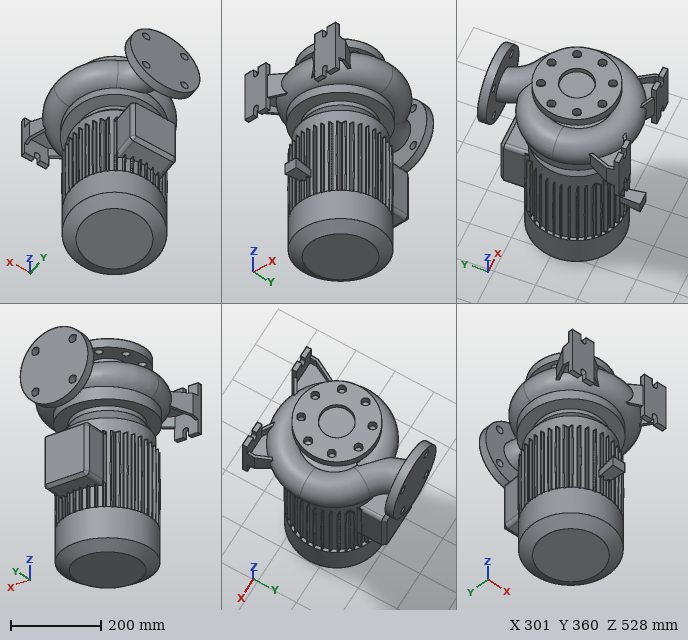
import cadquery as cq
import math


total_height = 528.0

fan_cover_radius = 116.0
fan_cover_tip_radius = 85.0
fan_cover_shoulder_z = 19.0
fin_bottom_z = 97.5
fin_top_z = 289.0
motor_radius = 107.5
motor_shoulder_z = 324.5
adapter_radius = 87.5
adapter_shoulder_z = 354.0

fin_thickness = 2.0
fin_end_radius = fan_cover_radius
fin_bulge_radius = 117.0
fins_per_side = 10
fin_pitch_angle = 10.0

casing_z = 428.0
casing_tube_radius = 40.0
casing_path_radius = 110.5
casing_offset_x = 10.5
casing_tail_end_radius = 33.0
casing_ring_radius = 120.0
casing_ring_bottom_z = 365.5
casing_hub_radius = 90.0
casing_hub_edge_z = 454.0
casing_hub_neck_z = 462.0

flange_thickness = 21.5
suction_flange_radius = 100.0
suction_bolt_circle_radius = 79.5
suction_bolt_count = 8
suction_neck_radius = 47.5
suction_bore_radius = 40.5
suction_bore_depth = 12.5
discharge_flange_radius = 93.0
discharge_face_y = 200.0
discharge_bolt_circle_radius = 72.5
discharge_bolt_count = 4
bolt_hole_diameter = 19.5

foot_face_y = -160.0
foot_plate_thickness = 12.0
foot_outer_x = 140.0
foot_inner_x = 75.0
foot_height = 124.5
foot_slot_x = 106.0
foot_slot_width = 14.0
foot_slot_depth = 22.0
web_thickness = 7.0
web_root_half_height = 30.0
web_taper = 0.17
web_bend_y = -129.5
web_outer_tip = (106.5, -63.0)
web_inner_tip = (26.5, -126.5)
web_inner_root_y = -154.5

support_z = 166.5
support_face_y = -159.0
support_face_width = 35.0
support_face_height = 28.0
support_root_width = 25.0
support_root_height = 20.0
support_length = 56.0

box_width = 121.5
box_bottom_z = 155.0
box_face_y = 160.5
box_root_y = 79.0
box_fillet = 10.0
box_lid_depth = 10.0
box_lid_inset = 7.5


def ring_points(radius, count):
    """Evenly spaced points on a circle, straddling the axes."""
    step = 2 * math.pi / count
    return [(radius * math.cos((i + 0.5) * step), radius * math.sin((i + 0.5) * step)) for i in range(count)]


def make_motor_body():
    profile = [
        (0, 0),
        (fan_cover_tip_radius, 0),
        (fan_cover_radius, fan_cover_shoulder_z),
        (fan_cover_radius, fin_bottom_z),
        (motor_radius, fin_bottom_z),
        (motor_radius, motor_shoulder_z),
        (adapter_radius, adapter_shoulder_z),
        (adapter_radius, casing_ring_bottom_z),
        (0, casing_ring_bottom_z),
    ]
    return cq.Workplane("XZ").polyline(profile).close().revolve(360, (0, 0, 0), (0, 1, 0))


def make_fins():
    """Cooling fins in four groups, each group parallel to X or Y, trimmed to a slight barrel."""
    fin_height = fin_top_z - fin_bottom_z
    side = cq.Workplane("XY")
    for i in range(fins_per_side):
        angle = math.radians((i - (fins_per_side - 1) / 2) * fin_pitch_angle)
        outer_side_x = motor_radius * math.sin(angle)
        centre_x = outer_side_x - math.copysign(fin_thickness / 2, angle)
        fin = (
            cq.Workplane("XY", origin=(centre_x, fin_bulge_radius / 2, fin_bottom_z))
            .rect(fin_thickness, fin_bulge_radius)
            .extrude(fin_height)
        )
        side = side.add(fin)
    barrel = (
        cq.Workplane("XZ")
        .moveTo(0, fin_bottom_z)
        .lineTo(fin_end_radius, fin_bottom_z)
        .threePointArc((fin_bulge_radius, (fin_bottom_z + fin_top_z) / 2), (fin_end_radius, fin_top_z))
        .lineTo(0, fin_top_z)
        .close()
        .revolve(360, (0, 0, 0), (0, 1, 0))
    )
    one_side = side.combine().intersect(barrel)
    fins = one_side
    for quarter in range(1, 4):
        fins = fins.union(one_side.rotate((0, 0, 0), (0, 0, 1), 90 * quarter))
    return fins


def make_terminal_box():
    """Rounded box whose lid slopes inward toward its front face."""
    height = fin_top_z - box_bottom_z
    body = (
        cq.Workplane("XZ", origin=(0, box_root_y, box_bottom_z + height / 2))
        .rect(box_width, height)
        .extrude(box_root_y + box_lid_depth - box_face_y)
        .edges("|Y")
        .fillet(box_fillet)
    )
    lid_slope = math.degrees(math.atan2(box_lid_inset, box_lid_depth))
    lid_outline = body.faces(">Y").wires().toPending().workplane()
    lid = lid_outline.extrude(box_lid_depth, combine=False, taper=lid_slope)
    return body.union(lid)


def make_support():
    return (
        cq.Workplane("XZ", origin=(0, support_face_y, support_z))
        .rect(support_face_width, support_face_height)
        .workplane(offset=-support_length)
        .rect(support_root_width, support_root_height)
        .loft(ruled=True)
    )


def make_casing():
    outlet_path_radius = (discharge_face_y**2 + casing_offset_x**2 - casing_path_radius**2) / (
        2 * (casing_path_radius + casing_offset_x)
    )
    throat_angle = math.asin(discharge_face_y / (casing_path_radius + outlet_path_radius))

    def volute_point(angle):
        return (
            casing_offset_x + casing_path_radius * math.cos(angle),
            casing_path_radius * math.sin(angle),
        )

    def outlet_point(angle):
        return (
            outlet_path_radius * (1 - math.cos(angle)),
            discharge_face_y - outlet_path_radius * math.sin(angle),
        )

    tail_path_radius = casing_path_radius - casing_offset_x

    def tail_point(angle):
        return (tail_path_radius * math.cos(angle), tail_path_radius * math.sin(angle))

    plane = cq.Workplane("XY", origin=(0, 0, casing_z))
    volute_path = (
        plane.moveTo(*volute_point(math.pi))
        .threePointArc(volute_point(1.5 * math.pi), volute_point(0))
        .threePointArc(volute_point(throat_angle / 2), volute_point(throat_angle))
        .threePointArc(outlet_point(throat_angle / 2), outlet_point(0))
    )
    start = cq.Workplane("XZ", origin=(-tail_path_radius, 0, casing_z))
    volute = start.circle(casing_tube_radius).sweep(volute_path)

    tail_path = plane.moveTo(-tail_path_radius, 0).threePointArc(
        tail_point((math.pi + throat_angle) / 2), tail_point(throat_angle)
    )
    end_x, end_y = tail_point(throat_angle)
    tail_end = cq.Plane(
        origin=(end_x, end_y, casing_z),
        xDir=(end_x, end_y, 0),
        normal=(math.sin(throat_angle), -math.cos(throat_angle), 0),
    )
    tail_start = cq.Plane(origin=(-tail_path_radius, 0, casing_z), xDir=(-1, 0, 0), normal=(0, 1, 0))
    start_wire = cq.Workplane(tail_start).circle(casing_tube_radius).wires().val()
    end_wire = cq.Workplane(tail_end).circle(casing_tail_end_radius).wires().val()
    tail = cq.Workplane(cq.Solid.sweep_multi([start_wire, end_wire], tail_path.val()))

    ring = (
        cq.Workplane("XY", origin=(0, 0, casing_ring_bottom_z))
        .circle(casing_ring_radius)
        .extrude(casing_z - casing_ring_bottom_z)
    )
    hub_profile = [
        (0, casing_z),
        (casing_hub_radius, casing_z),
        (casing_hub_radius, casing_hub_edge_z),
        (suction_neck_radius, casing_hub_neck_z),
        (0, casing_hub_neck_z),
    ]
    hub = (
        cq.Workplane("XZ", origin=(casing_offset_x, 0, 0))
        .polyline(hub_profile)
        .close()
        .revolve(360, (0, 0, 0), (0, 1, 0))
    )
    return ring.union(hub).union(volute).union(tail)


def make_flange(plane, radius, bolt_circle_radius, bolt_count):
    """Flange disc growing from its sealing face, drilled through with a ring of bolt holes."""
    disc = cq.Workplane(plane).circle(radius).extrude(flange_thickness)
    holes = (
        cq.Workplane(plane)
        .pushPoints(ring_points(bolt_circle_radius, bolt_count))
        .circle(bolt_hole_diameter / 2)
        .extrude(flange_thickness)
    )
    return disc.cut(holes)


def make_suction():
    face = cq.Plane(origin=(0, 0, total_height), xDir=(1, 0, 0), normal=(0, 0, -1))
    flange = make_flange(face, suction_flange_radius, suction_bolt_circle_radius, suction_bolt_count)
    neck = cq.Workplane(face).circle(suction_neck_radius).extrude(total_height - casing_z)
    bore = cq.Workplane(face).circle(suction_bore_radius).extrude(suction_bore_depth)
    return flange.union(neck).cut(bore)


def make_discharge_flange():
    face = cq.Plane(origin=(0, discharge_face_y, casing_z), xDir=(1, 0, 0), normal=(0, -1, 0))
    return make_flange(face, discharge_flange_radius, discharge_bolt_circle_radius, discharge_bolt_count)


def make_foot():
    """Foot on the +X side: slotted plate, two tapering walls and a floor between them."""
    plate_back_y = foot_face_y + foot_plate_thickness
    plate = (
        cq.Workplane("XY")
        .box(foot_outer_x - foot_inner_x, foot_plate_thickness, foot_height, centered=(True, False, False))
        .translate(((foot_outer_x + foot_inner_x) / 2, foot_face_y, casing_ring_bottom_z))
    )
    for end_z in (casing_ring_bottom_z, casing_ring_bottom_z + foot_height):
        slot = (
            cq.Workplane("XZ", origin=(foot_slot_x, plate_back_y, end_z))
            .slot2D(2 * foot_slot_depth, foot_slot_width, 90)
            .extrude(foot_plate_thickness)
        )
        plate = plate.cut(slot)

    footprint = [
        (foot_outer_x, foot_face_y),
        (foot_outer_x, web_bend_y),
        web_outer_tip,
        web_inner_tip,
        (foot_inner_x, web_inner_root_y),
        (foot_inner_x, foot_face_y),
    ]
    outline = cq.Workplane("XY", origin=(0, 0, casing_z)).polyline(footprint).close().wire().val()

    def footprint_prism(inset, half_thickness):
        base = cq.Workplane("XY", origin=(0, 0, casing_z)).add(outline).toPending()
        if inset:
            base = base.offset2D(-inset)
        return base.extrude(half_thickness, both=True)

    webs = footprint_prism(0, foot_height / 2)
    cavity = footprint_prism(web_thickness, foot_height / 2)
    floor = footprint_prism(0, web_thickness / 2)

    def half_height(y):
        return web_root_half_height - web_taper * (y - plate_back_y)

    tip_y = web_outer_tip[1]
    envelope = (
        cq.Workplane("YZ")
        .polyline([
            (foot_face_y, casing_z - half_height(foot_face_y)),
            (tip_y, casing_z - half_height(tip_y)),
            (tip_y, casing_z + half_height(tip_y)),
            (foot_face_y, casing_z + half_height(foot_face_y)),
        ])
        .close()
        .extrude(foot_outer_x)
    )
    return webs.cut(cavity).intersect(envelope).union(floor).union(plate)


foot = make_foot()
result = (
    make_motor_body()
    .union(make_fins())
    .union(make_terminal_box())
    .union(make_support())
    .union(make_casing())
    .union(make_suction())
    .union(make_discharge_flange())
    .union(foot)
    .union(foot.mirror("YZ"))
)